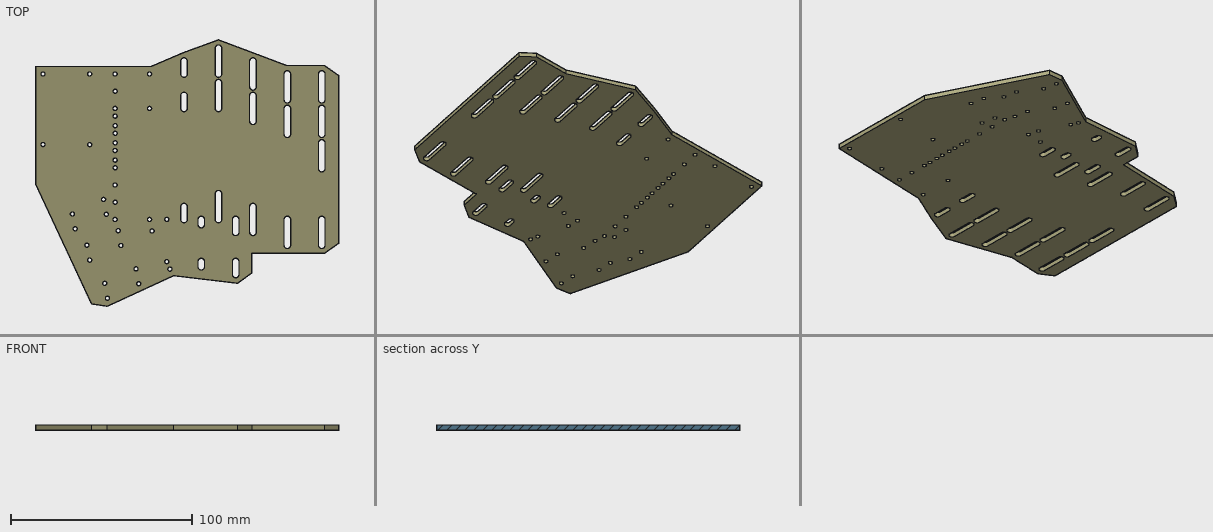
import cadquery as cq
import math

length = 167.1
width = 147.0
thickness = 3.0

left_top_y = 132.4
right_top_y = 132.9
right_bottom_y = 29.2
corner_x = 7.9
corner_y = 5.5
step_x = 119.2
step_height = 10.9

hole_diameter = 2.2
slot_width = 3.5

three_key_span = 57.0
pitch = three_key_span / 3
first_column_x = 43.8
top_row_y = 128.2
column_drop = 80.2
bottom_row_y = top_row_y - column_drop

long_travel = 14.2
medium_travel = long_travel / 2
short_travel = 2.8

thumb_row_gap = 23.2
thumb_angle = 25.0
thumb_origin = (20.2, 51.0)
thumb_pair_shift = (1.5, -8.2)

mount_x = 4.0
mount_span_x = 25.7
mount_span_y = 39.0


def column_x(column):
    return first_column_x + column * pitch


def make_plate():
    outline = [
        (0, left_top_y),
        (63.5, left_top_y),
        (81.5, 140.0),
        (100.8, width),
        (138.5, right_top_y),
        (length - corner_x, right_top_y),
        (length, right_top_y - corner_y),
        (length, right_bottom_y + corner_y),
        (length - corner_x, right_bottom_y),
        (step_x, right_bottom_y),
        (step_x, right_bottom_y - step_height),
        (step_x - corner_x, 12.7),
        (76.0, 16.9),
        (39.5, 0),
        (30.8, 1.3),
        (0, 67.2),
    ]
    return cq.Workplane("XY").polyline(outline).close().extrude(thickness)


def mount_holes():
    return [
        (mount_x + i * mount_span_x, top_row_y - j * mount_span_y)
        for i in range(2)
        for j in range(2)
    ]


def column_holes():
    half_pitch = pitch / 2
    upper_run = [(column_x(0), top_row_y - k * half_pitch) for k in range(6)]
    lower_run = [(column_x(0), bottom_row_y + k * half_pitch) for k in range(7)]
    second_column = [(column_x(1), y) for y in (top_row_y, top_row_y - pitch, bottom_row_y)]
    return upper_run + lower_run + second_column


def turned_thumb_holes():
    cosine = math.cos(math.radians(thumb_angle))
    sine = math.sin(math.radians(thumb_angle))

    def place(column, depth, shift=(0, 0)):
        across = column * pitch
        x = thumb_origin[0] + across * cosine + depth * sine + shift[0]
        y = thumb_origin[1] + across * sine - depth * cosine + shift[1]
        return (x, y)

    depths = (0, pitch, pitch + thumb_row_gap)
    holes = []
    for column in range(2):
        for depth in depths:
            holes.append(place(column, depth))
            holes.append(place(column, depth, thumb_pair_shift))
    for depth in depths[1:]:
        holes.append(place(2, depth, thumb_pair_shift))
    return holes


def straight_thumb_holes():
    return [(column_x(1.5), bottom_row_y - k * thumb_row_gap) for k in range(2)]


def slot_cutter(x, low_y, travel):
    return (
        cq.Workplane("XY")
        .center(x, low_y + travel / 2)
        .slot2D(travel + slot_width, slot_width, 90)
        .extrude(thickness)
    )


def column_slots():
    columns = [
        (2, 0, medium_travel, 2),
        (3, 0, long_travel, 2),
        (4, medium_travel, long_travel, 2),
        (5, long_travel, long_travel, 2),
        (6, long_travel, long_travel, 3),
    ]
    slots = []
    for column, drop, travel, upper_count in columns:
        start_y = top_row_y - drop
        for k in range(upper_count):
            slots.append((column_x(column), start_y - k * pitch, travel))
        slots.append((column_x(column), start_y - column_drop, travel))
    return slots


def thumb_slots():
    slots = []
    for column, travel in ((2.5, short_travel), (3.5, medium_travel)):
        for k in range(2):
            row_y = bottom_row_y - k * thumb_row_gap
            slots.append((column_x(column), row_y - travel, travel))
    return slots


holes = mount_holes() + column_holes() + turned_thumb_holes() + straight_thumb_holes()
hole_cutters = cq.Workplane("XY").pushPoints(holes).circle(hole_diameter / 2).extrude(thickness)

result = make_plate().cut(hole_cutters)
for slot_x, slot_low_y, slot_travel in column_slots() + thumb_slots():
    result = result.cut(slot_cutter(slot_x, slot_low_y, slot_travel))